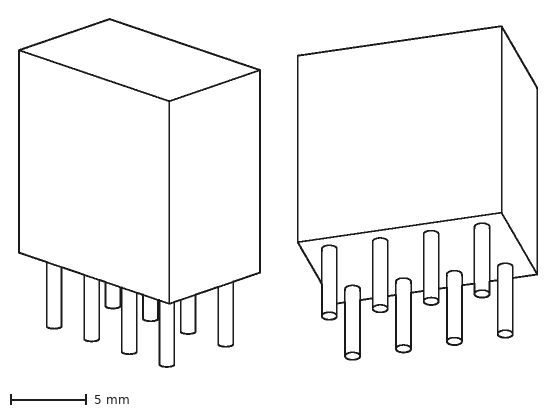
import cadquery as cq

HOUSING_LENGTH = 14.0
HOUSING_WIDTH = 8.5
TOTAL_HEIGHT = 19.3

PIN_DIAMETER = 1.0
PIN_LENGTH = 5.1
PINS_PER_ROW = 4
PIN_ROWS = 2
PIN_PITCH = 3.5
ROW_SPACING = 5.5
ROW_OFFSET = 0.04

HOUSING_HEIGHT = TOTAL_HEIGHT - PIN_LENGTH


def make_housing():
    """Plain block centred on Z, with its underside at Z = 0."""
    return cq.Workplane("XY").box(
        HOUSING_LENGTH, HOUSING_WIDTH, HOUSING_HEIGHT, centered=(True, True, False)
    )


def make_pin(x, y):
    """Round pin hanging from the underside of the housing."""
    return cq.Workplane("XY").center(x, y).circle(PIN_DIAMETER / 2).extrude(-PIN_LENGTH)


def centred_positions(count, spacing):
    """Evenly spaced coordinates, symmetric about zero."""
    return [(index - (count - 1) / 2) * spacing for index in range(count)]


housing = make_housing()

pins = []
for pin_y in centred_positions(PIN_ROWS, ROW_SPACING):
    for pin_x in centred_positions(PINS_PER_ROW, PIN_PITCH):
        pins.append(make_pin(pin_x, pin_y + ROW_OFFSET))

result = cq.Compound.makeCompound([housing.val(), *[pin.val() for pin in pins]])